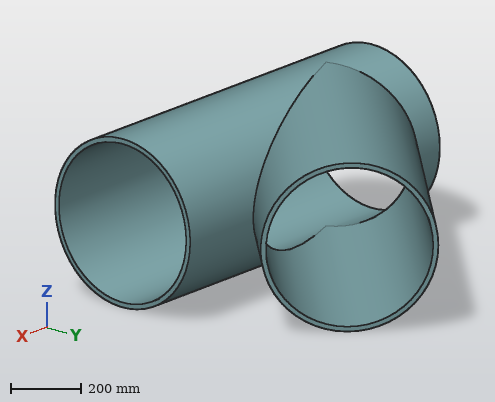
import cadquery as cq

outer_diameter = 508.0
inner_diameter = 477.88
branch_length = 889.0
run_inlet_length = 203.2
run_outlet_length = branch_length
branch_angle = 45.0

run_length = run_inlet_length + run_outlet_length


def run_cylinder(diameter):
    """Cylinder over the full length of the run, with the axis crossing at the origin."""
    return cq.Workplane("YZ", origin=(-run_inlet_length, 0, 0)).circle(diameter / 2).extrude(run_length)


def branch_cylinder(diameter):
    """Cylinder from the axis crossing to the branch end, inclined towards +X and +Y."""
    along_run = cq.Workplane("YZ").circle(diameter / 2).extrude(branch_length)
    return along_run.rotate((0, 0, 0), (0, 0, 1), branch_angle)


def lateral(diameter):
    """Run and branch cylinders of one diameter, joined."""
    return run_cylinder(diameter).union(branch_cylinder(diameter))


result = lateral(outer_diameter).cut(lateral(inner_diameter))